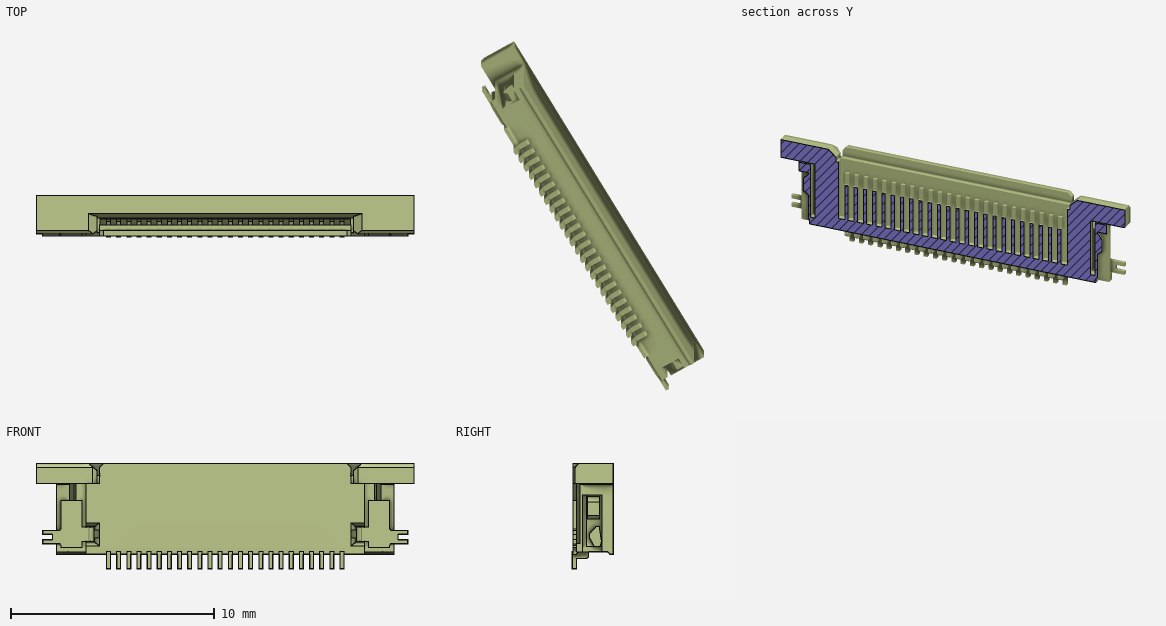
import cadquery as cq
import math


HEIGHT = 5.2
BACK_Y = 2.04
PLATE_Y = 0.04
SHEET = 0.17
WING_Y = PLATE_Y + SHEET

COVER_HALF_LENGTH = 9.3
COVER_BOTTOM = 4.2
COVER_FRONT = 0.15
COVER_BEVEL_Y = 0.16
COVER_BEVEL_Z = 0.2

MOUTH_HALF_WIDTH = 6.31
MOUTH_BACK = 0.92
MOUTH_FLARE_X = 0.42
MOUTH_FLARE_Y = 0.22
MOUTH_END_FLARE_DEPTH = 0.36
MOUTH_BACK_FLARE_DEPTH = 0.6
MOUTH_CORNER_X = 0.22
MOUTH_CORNER_Y = 0.15
MOUTH_FLOOR = 4.6

PLATE_HALF_LENGTH = 6.86
TONGUE_HALF_LENGTH = 6.19
TONGUE_BEVEL = 0.2
LIP_TOP_DEPTH = 0.27
LIP_STEP = 0.5
HOUSING_BOTTOM = 0.72
HOUSING_UNDERSIDE = 0.84
REAR_RIB_DEPTH = 0.17
WING_HALF_LENGTH = 8.32

SLOT_HALF_LENGTH = 6.18
SLOT_FRONT = 0.59
SLOT_BACK = 0.88
SLOT_FLOOR = 1.5

POST_INNER = 7.67
POST_FRONT = 0.38
POST_TOP = 4.16
FOOT_TOP = 1.25
GROOVE_INNER = 7.46
GROOVE_STEP = 7.34
GROOVE_BACK = 0.95
GROOVE_STEP_BACK = 0.72
RECESS_FLOOR = 7.75
RECESS_FRONT = 0.51
RECESS_BACK = 1.48
RECESS_TOP = 3.65
ARM_FACE = 7.83
ARM_FRONT = 0.71
ARM_BOTTOM = 1.1
BUMP_HEIGHT = 0.25
BUMP_BOTTOM = 2.45
BUMP_TOP = 3.58
BUMP_FRONT = 0.76
BUMP_BACK = 1.36
BUMP_UPPER_SLOPE = 0.28
BUMP_LOWER_SLOPE = 0.18
HOOK_FACE = 8.3
HOOK_OUTLINE = [
    (1.34, 2.08),
    (1.18, 2.08),
    (0.85, 1.73),
    (0.85, 1.56),
    (1.09, ARM_BOTTOM),
    (1.38, ARM_BOTTOM),
    (1.45, 1.37),
    (1.38, 1.8),
]

NAIL_INNER = 7.05
NAIL_OUTER = 8.09
NAIL_BOTTOM = 1.06
NAIL_TOP = 3.38
NAIL_CORNER = 0.08
PRONG_TIP = 9.0
PRONG_BOTTOM = 1.24
PRONG_TOP = 1.9
PRONG_GAP_BOTTOM = 1.44
PRONG_GAP_TOP = 1.7
PRONG_GAP_END = 8.51
TAIL_BOTTOM = 1.36
TAIL_TOP = 2.06
TAIL_STRAIGHT_END = 6.72
TAIL_BEND_RADIUS = 0.26

POCKET_INNER = 6.2
POCKET_BOTTOM = 1.14
POCKET_TOP = 2.26
POCKET_DEPTH = 0.32
POCKET_TAPER = 0.18
POCKET_END_TAPER = 0.24
POCKET_NOTCH_BOTTOM = 1.53
POCKET_NOTCH_TOP = 1.91

CONTACT_COUNT = 24
PITCH = 0.5
CONTACT_WIDTH = 0.2
CONTACT_TOP = 0.86
SOLDER_TAIL = 0.22
KNEE_BACK = 0.82
KNEE_BOTTOM = 0.51
KNEE_BEVEL = 0.1
BEAM_BACK = 0.75
BEAM_TOP = 4.0
BEAM_SHOULDER = 3.4

CUT_MARGIN = 0.5


def box(x0, x1, y0, y1, z0, z1):
    """Box between the given limits."""
    return cq.Workplane("XY").box(x1 - x0, y1 - y0, z1 - z0, centered=False).translate((x0, y0, z0))


def bar(half_length, y0, y1, z0, z1):
    """Box that is symmetric about X = 0."""
    return box(-half_length, half_length, y0, y1, z0, z1)


def side_profile(points, x0, x1):
    """Extrude a (Y, Z) outline from x0 to x1."""
    return cq.Workplane("YZ").workplane(offset=x0).polyline(points).close().extrude(x1 - x0)


def front_profile(points, y0, y1):
    """Extrude an (X, Z) outline from y0 to y1."""
    return cq.Workplane("XZ").workplane(offset=-y1).polyline(points).close().extrude(y1 - y0)


def both_ends(shape):
    """Add the mirror image of a right-hand feature."""
    return shape.union(shape.mirror("YZ"))


def cover_bar():
    """Full-length bar with a bevel along its upper front edge."""
    bevel_z = HEIGHT - COVER_BEVEL_Z
    outline = [
        (BACK_Y, COVER_BOTTOM),
        (BACK_Y, HEIGHT),
        (COVER_FRONT + COVER_BEVEL_Y, HEIGHT),
        (COVER_FRONT, bevel_z),
        (COVER_FRONT, COVER_BOTTOM),
    ]
    return side_profile(outline, -COVER_HALF_LENGTH, COVER_HALF_LENGTH)


def mouth():
    """Opening whose back and ends flare toward the top, with bevelled front corners."""
    front = COVER_FRONT - CUT_MARGIN
    back_outline = [
        (front, COVER_BOTTOM),
        (MOUTH_BACK, COVER_BOTTOM),
        (MOUTH_BACK, HEIGHT - MOUTH_BACK_FLARE_DEPTH),
        (MOUTH_BACK + MOUTH_FLARE_Y, HEIGHT),
        (front, HEIGHT),
    ]
    top_half = MOUTH_HALF_WIDTH + MOUTH_FLARE_X
    end_flare_z = HEIGHT - MOUTH_END_FLARE_DEPTH
    end_outline = [
        (-MOUTH_HALF_WIDTH, COVER_BOTTOM),
        (MOUTH_HALF_WIDTH, COVER_BOTTOM),
        (MOUTH_HALF_WIDTH, end_flare_z),
        (top_half, HEIGHT),
        (-top_half, HEIGHT),
        (-MOUTH_HALF_WIDTH, end_flare_z),
    ]
    opening = side_profile(back_outline, -top_half, top_half).intersect(
        front_profile(end_outline, front, MOUTH_BACK + MOUTH_FLARE_Y)
    )
    corner = (
        cq.Workplane("XY", origin=(0, 0, COVER_BOTTOM))
        .moveTo(MOUTH_HALF_WIDTH, COVER_FRONT)
        .lineTo(MOUTH_HALF_WIDTH + MOUTH_CORNER_X, COVER_FRONT)
        .lineTo(MOUTH_HALF_WIDTH, COVER_FRONT + MOUTH_CORNER_Y)
        .close()
        .extrude(HEIGHT - COVER_BOTTOM)
    )
    return opening.union(both_ends(corner))


def housing_core():
    """Housing between and including the wings, with a rear rib along its underside."""
    rib_step = HOUSING_UNDERSIDE - HOUSING_BOTTOM
    rib_front = BACK_Y - REAR_RIB_DEPTH
    outline = [
        (WING_Y, HOUSING_UNDERSIDE),
        (rib_front - rib_step, HOUSING_UNDERSIDE),
        (rib_front, HOUSING_BOTTOM),
        (BACK_Y, HOUSING_BOTTOM),
        (BACK_Y, COVER_BOTTOM),
        (WING_Y, COVER_BOTTOM),
    ]
    core = side_profile(outline, -WING_HALF_LENGTH, WING_HALF_LENGTH)
    mouth_floor = bar(MOUTH_HALF_WIDTH, WING_Y, MOUTH_BACK, COVER_BOTTOM, MOUTH_FLOOR)
    return core.union(mouth_floor)


def front_plate():
    """Plate on the front of the housing, reaching below its underside."""
    foot_step = HOUSING_UNDERSIDE - HOUSING_BOTTOM
    plate_outline = [
        (PLATE_Y, HOUSING_BOTTOM),
        (WING_Y, HOUSING_BOTTOM),
        (WING_Y + foot_step, HOUSING_UNDERSIDE),
        (WING_Y + foot_step, COVER_BOTTOM),
        (PLATE_Y, COVER_BOTTOM),
    ]
    return side_profile(plate_outline, -PLATE_HALF_LENGTH, PLATE_HALF_LENGTH)


def tongue():
    """Front lip of the cable slot, stepped down beside the slot."""
    lip_back = PLATE_Y + LIP_TOP_DEPTH
    step_z = HEIGHT - LIP_STEP
    outline = [
        (PLATE_Y, COVER_BOTTOM),
        (SLOT_FRONT, COVER_BOTTOM),
        (SLOT_FRONT, step_z),
        (lip_back, step_z),
        (lip_back, HEIGHT),
        (PLATE_Y, HEIGHT),
    ]
    lip = side_profile(outline, -TONGUE_HALF_LENGTH, TONGUE_HALF_LENGTH)
    bevel = front_profile(
        [
            (TONGUE_HALF_LENGTH, HEIGHT),
            (TONGUE_HALF_LENGTH - TONGUE_BEVEL, HEIGHT),
            (TONGUE_HALF_LENGTH, HEIGHT - TONGUE_BEVEL),
        ],
        PLATE_Y,
        PLATE_Y + LIP_TOP_DEPTH,
    )
    return lip.cut(both_ends(bevel))


def wing_cuts():
    """Set-back post, stepped front groove and side recess of the right wing."""
    post = box(POST_INNER, WING_HALF_LENGTH, WING_Y, POST_FRONT, FOOT_TOP, COVER_BOTTOM)
    top_gap = box(POST_INNER, WING_HALF_LENGTH, WING_Y, BACK_Y, POST_TOP, COVER_BOTTOM)
    groove = box(GROOVE_INNER, POST_INNER, WING_Y, GROOVE_BACK, FOOT_TOP, COVER_BOTTOM)
    step = box(GROOVE_STEP, GROOVE_INNER, WING_Y, GROOVE_STEP_BACK, FOOT_TOP, COVER_BOTTOM)
    recess = box(
        RECESS_FLOOR, WING_HALF_LENGTH, RECESS_FRONT, RECESS_BACK, HOUSING_BOTTOM, RECESS_TOP
    )
    return post.union(top_gap).union(groove).union(step).union(recess)


def latch_arm():
    """Arm in the right side recess, with a bump and a faceted hook."""
    arm = box(RECESS_FLOOR, ARM_FACE, ARM_FRONT, RECESS_BACK, ARM_BOTTOM, RECESS_TOP)
    bump_face = ARM_FACE + BUMP_HEIGHT
    bump = front_profile(
        [
            (ARM_FACE, BUMP_BOTTOM),
            (bump_face, BUMP_BOTTOM + BUMP_LOWER_SLOPE),
            (bump_face, BUMP_TOP - BUMP_UPPER_SLOPE),
            (ARM_FACE, BUMP_TOP),
        ],
        BUMP_FRONT,
        BUMP_BACK,
    )
    hook = side_profile(HOOK_OUTLINE, ARM_FACE, HOOK_FACE)
    return arm.union(bump).union(hook)


def tail_pocket():
    """Tapered pocket at the right edge of the plate, with a straight notch at its end."""
    height = POCKET_TOP - POCKET_BOTTOM
    middle_z = (POCKET_TOP + POCKET_BOTTOM) / 2
    length = PLATE_HALF_LENGTH - POCKET_INNER
    pocket = (
        cq.Workplane("XZ", origin=(POCKET_INNER + length / 2, PLATE_Y, middle_z))
        .rect(length, height)
        .workplane(offset=-POCKET_DEPTH)
        .center(POCKET_END_TAPER / 2, 0)
        .rect(length - POCKET_END_TAPER, height - 2 * POCKET_TAPER)
        .loft(ruled=True)
    )
    notch = box(
        POCKET_INNER,
        PLATE_HALF_LENGTH,
        PLATE_Y,
        PLATE_Y + POCKET_DEPTH,
        POCKET_NOTCH_BOTTOM,
        POCKET_NOTCH_TOP,
    )
    return pocket.union(notch)


def nail_tail():
    """Inner tail of the right nail, bent back into the pocket through a quarter turn."""
    outer_r = TAIL_BEND_RADIUS
    inner_r = outer_r - SHEET
    center_y = PLATE_Y + outer_r
    end_y = PLATE_Y + POCKET_DEPTH
    diagonal = math.sqrt(0.5)
    return (
        cq.Workplane("XY", origin=(0, 0, TAIL_BOTTOM))
        .moveTo(NAIL_INNER, PLATE_Y)
        .lineTo(TAIL_STRAIGHT_END, PLATE_Y)
        .threePointArc(
            (TAIL_STRAIGHT_END - outer_r * diagonal, center_y - outer_r * diagonal),
            (TAIL_STRAIGHT_END - outer_r, center_y),
        )
        .lineTo(TAIL_STRAIGHT_END - outer_r, end_y)
        .lineTo(TAIL_STRAIGHT_END - inner_r, end_y)
        .lineTo(TAIL_STRAIGHT_END - inner_r, center_y)
        .threePointArc(
            (TAIL_STRAIGHT_END - inner_r * diagonal, center_y - inner_r * diagonal),
            (TAIL_STRAIGHT_END, WING_Y),
        )
        .lineTo(NAIL_INNER, WING_Y)
        .close()
        .extrude(TAIL_TOP - TAIL_BOTTOM)
    )


def solder_nail():
    """Right solder nail: a flat plate with a forked prong and a bent tail."""
    outline = [
        (NAIL_INNER, NAIL_BOTTOM),
        (NAIL_OUTER, NAIL_BOTTOM),
        (NAIL_OUTER, PRONG_BOTTOM - NAIL_CORNER),
        (NAIL_OUTER + NAIL_CORNER, PRONG_BOTTOM),
        (PRONG_TIP, PRONG_BOTTOM),
        (PRONG_TIP, PRONG_GAP_BOTTOM),
        (PRONG_GAP_END, PRONG_GAP_BOTTOM),
        (PRONG_GAP_END, PRONG_GAP_TOP),
        (PRONG_TIP, PRONG_GAP_TOP),
        (PRONG_TIP, PRONG_TOP),
        (NAIL_OUTER + NAIL_CORNER, PRONG_TOP),
        (NAIL_OUTER, PRONG_TOP + NAIL_CORNER),
        (NAIL_OUTER, NAIL_TOP),
        (NAIL_INNER, NAIL_TOP),
    ]
    return front_profile(outline, PLATE_Y, WING_Y).union(nail_tail())


def contact(x):
    """Contact centred on x: solder tail and knee below, spring beam in the slot."""
    x0 = x - CONTACT_WIDTH / 2
    x1 = x + CONTACT_WIDTH / 2
    lead = side_profile(
        [
            (0, 0),
            (SOLDER_TAIL, 0),
            (SOLDER_TAIL, KNEE_BOTTOM),
            (KNEE_BACK - KNEE_BEVEL, KNEE_BOTTOM),
            (KNEE_BACK, KNEE_BOTTOM + KNEE_BEVEL),
            (KNEE_BACK, CONTACT_TOP),
            (0, CONTACT_TOP),
        ],
        x0,
        x1,
    )
    beam = side_profile(
        [
            (SLOT_FRONT, SLOT_FLOOR),
            (SLOT_BACK, SLOT_FLOOR),
            (SLOT_BACK, BEAM_SHOULDER),
            (BEAM_BACK, BEAM_SHOULDER),
            (BEAM_BACK, BEAM_TOP),
            (SLOT_FRONT, BEAM_TOP),
        ],
        x0,
        x1,
    )
    return lead.union(beam)


housing = housing_core().union(front_plate())
housing = housing.cut(both_ends(wing_cuts())).cut(both_ends(tail_pocket()))

connector = cover_bar().cut(mouth()).union(housing).union(tongue())
cable_slot = bar(SLOT_HALF_LENGTH, SLOT_FRONT, SLOT_BACK, SLOT_FLOOR, HEIGHT)
connector = connector.cut(cable_slot)
connector = connector.union(both_ends(latch_arm())).union(both_ends(solder_nail()))

first_contact_x = -PITCH * (CONTACT_COUNT - 1) / 2
for index in range(CONTACT_COUNT):
    connector = connector.union(contact(first_contact_x + index * PITCH))

result = connector